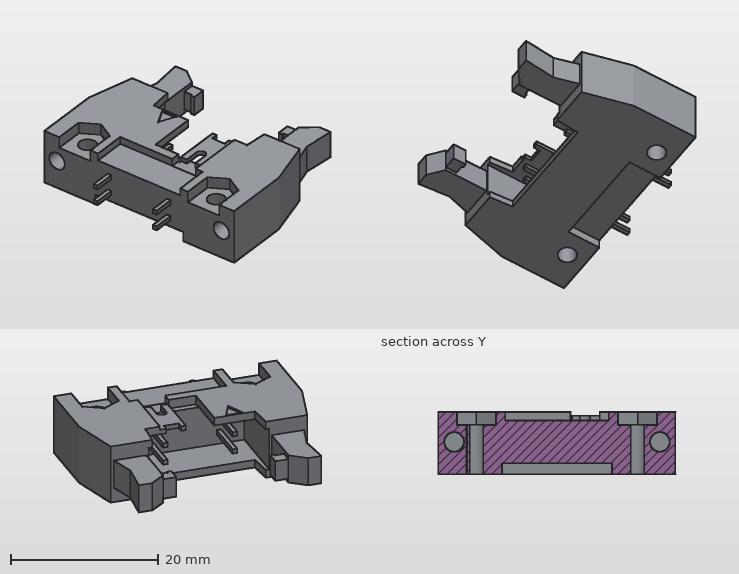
import cadquery as cq


width = 32.3
height = 8.5
half_width = width / 2
taper_start_y = 10.1
horn_end_y = 17.38
horn_outer_x = 14.25
horn_inner_x = 8.25
rim_y = 13.85
rim_half_width = 7.95

cavity_half_width = 8.75
cavity_floor_z = 1.15
cavity_top_z = 7.33
cavity_rear_y = 7.45

recess_length = 5.05
top_recess_half_width = 7.0
top_recess_depth = 1.13
bottom_recess_half_width = 7.45
bottom_recess_height = 1.52

mount_x = 10.95
mount_y = 2.9
mount_diameter = 2.65
nut_pocket_width = 5.3
nut_pocket_shoulder_y = 4.4
nut_pocket_apex_y = 5.9
nut_pocket_depth = 1.75

side_hole_x = 14.0
side_hole_z = 4.43
side_hole_diameter = 2.65
side_hole_depth = 3.88

opening_left_x = -2.07
plate_left_x = 2.07
channel_left_x = 1.85
channel_right_x = 5.8
opening_rear_y = 6.45
opening_ledge_drop = 0.15
plate_rear_y = 6.7
plate_top_z = height - 0.5
plate_slot_x = 3.8
plate_slot_width = 1.42
plate_slot_end_y = 9.63
plate_notch_left_x = 2.75
plate_notch_right_x = 4.88
plate_notch_depth = 1.0

mark_x = -5.07
mark_half_width = 1.23
mark_base_y = rim_y - 0.25
mark_length = 2.62
mark_depth = 0.25

latch_thickness = 4.15
latch_mid_z = height / 2
latch_inner_x = 9.08
latch_root_x = 13.8
latch_waist_x = 12.75
latch_waist_y = 21.0
latch_tip_y = 25.78
latch_tip_outer_x = 13.2
latch_tip_inner_x = 11.3
hook_top_y = 24.03
hook_tip_x = 7.17
hook_lip_x = 7.8
hook_under_y = 22.3
hook_lip_y = 22.03
hook_height = 2.97

pin_size = 0.65
pin_x = 5.05
pin_rows_z = (2.97, 5.55)
pin_tail_length = 3.15


def block(x_range, y_range, z_range):
    """Box spanning the given (low, high) ranges."""
    lows, highs = zip(x_range, y_range, z_range)
    sizes = [high - low for low, high in zip(lows, highs)]
    return cq.Workplane("XY").box(*sizes, centered=False).translate(lows)


def prism(points, z_low, z_high):
    """Upright prism on a closed XY outline."""
    return cq.Workplane("XY", origin=(0, 0, z_low)).polyline(points).close().extrude(z_high - z_low)


def both_sides(shape):
    """The shape together with its mirror image across the mid-width plane."""
    return shape.union(shape.mirror("YZ"))


def make_housing():
    right_outline = [
        (half_width, 0),
        (half_width, taper_start_y),
        (horn_outer_x, horn_end_y),
        (horn_inner_x, horn_end_y),
        (rim_half_width, rim_y),
    ]
    left_outline = [(-x, y) for x, y in reversed(right_outline)]
    cavity = block(
        (-cavity_half_width, cavity_half_width),
        (cavity_rear_y, horn_end_y),
        (cavity_floor_z, cavity_top_z),
    )
    return prism(right_outline + left_outline, 0, height).cut(cavity)


def make_rear_recesses():
    top = block(
        (-top_recess_half_width, top_recess_half_width),
        (0, recess_length),
        (height - top_recess_depth, height),
    )
    bottom = block(
        (-bottom_recess_half_width, bottom_recess_half_width),
        (0, recess_length),
        (0, bottom_recess_height),
    )
    return top.union(bottom)


def make_mounting_cuts():
    """Through holes, each in a pointed pocket that runs out through the rear face."""
    pocket_left = mount_x - nut_pocket_width / 2
    pocket_right = mount_x + nut_pocket_width / 2
    pocket = prism(
        [
            (pocket_left, 0),
            (pocket_right, 0),
            (pocket_right, nut_pocket_shoulder_y),
            (mount_x, nut_pocket_apex_y),
            (pocket_left, nut_pocket_shoulder_y),
        ],
        height - nut_pocket_depth,
        height,
    )
    hole = cq.Workplane("XY").center(mount_x, mount_y).circle(mount_diameter / 2).extrude(height)
    return both_sides(pocket.union(hole))


def make_side_holes():
    hole = (
        cq.Workplane("XZ")
        .center(side_hole_x, side_hole_z)
        .circle(side_hole_diameter / 2)
        .extrude(-side_hole_depth)
    )
    return both_sides(hole)


def make_top_opening():
    """Keying opening beside the channel that runs back to the top recess.

    Behind the cavity, the opening leaves a ledge slightly below the channel floor.
    """
    ledge_z = cavity_top_z - opening_ledge_drop
    opening = block((opening_left_x, plate_left_x), (opening_rear_y, rim_y), (ledge_z, height))
    channel = block((channel_left_x, channel_right_x), (recess_length, rim_y), (cavity_top_z, height))
    return opening.union(channel)


def make_key_plate():
    """Plate held by the right side of the channel, slotted behind and notched in front."""
    plate = block((plate_left_x, channel_right_x), (plate_rear_y, rim_y), (cavity_top_z, plate_top_z))
    slot_radius = plate_slot_width / 2
    slot_centre_y = plate_slot_end_y - slot_radius
    slot = (
        cq.Workplane("XY", origin=(plate_slot_x, 0, cavity_top_z))
        .moveTo(-slot_radius, plate_rear_y)
        .lineTo(-slot_radius, slot_centre_y)
        .threePointArc((0, plate_slot_end_y), (slot_radius, slot_centre_y))
        .lineTo(slot_radius, plate_rear_y)
        .close()
        .extrude(plate_top_z - cavity_top_z)
    )
    notch = block(
        (plate_notch_left_x, plate_notch_right_x),
        (rim_y - plate_notch_depth, rim_y),
        (cavity_top_z, plate_top_z),
    )
    return plate.cut(slot).cut(notch)


def make_pin_one_mark():
    triangle = [
        (mark_x - mark_half_width, mark_base_y),
        (mark_x + mark_half_width, mark_base_y),
        (mark_x, mark_base_y - mark_length),
    ]
    return prism(triangle, height - mark_depth, height)


def make_latches():
    arm = prism(
        [
            (latch_inner_x, horn_end_y),
            (latch_root_x, horn_end_y),
            (latch_waist_x, latch_waist_y),
            (latch_tip_outer_x, latch_tip_y),
            (latch_tip_inner_x, latch_tip_y),
            (latch_inner_x, hook_top_y),
        ],
        latch_mid_z - latch_thickness / 2,
        latch_mid_z + latch_thickness / 2,
    )
    hook = prism(
        [
            (latch_inner_x, hook_top_y),
            (hook_tip_x, hook_top_y),
            (hook_tip_x, hook_lip_y),
            (hook_lip_x, hook_lip_y),
            (hook_lip_x, hook_under_y),
            (latch_inner_x, hook_under_y),
        ],
        latch_mid_z - hook_height / 2,
        latch_mid_z + hook_height / 2,
    )
    return both_sides(arm.union(hook))


def make_pins():
    """Square pins from the rear tails, through the rear wall, to the rim of the cavity."""
    pins = cq.Workplane("XY")
    half_size = pin_size / 2
    for z in pin_rows_z:
        pin = block(
            (pin_x - half_size, pin_x + half_size),
            (-pin_tail_length, rim_y),
            (z - half_size, z + half_size),
        )
        pins = pins.add(both_sides(pin))
    return pins.combine()


result = (
    make_housing()
    .cut(make_rear_recesses())
    .cut(make_mounting_cuts())
    .cut(make_side_holes())
    .cut(make_top_opening())
    .cut(make_pin_one_mark())
    .union(make_key_plate())
    .union(make_latches())
    .union(make_pins())
)